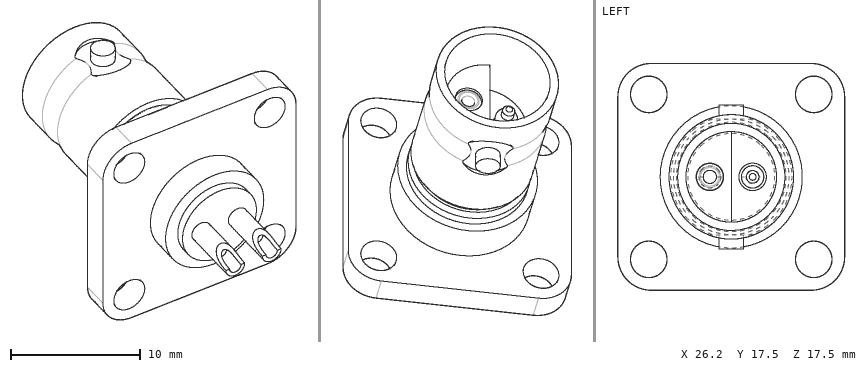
import cadquery as cq
import math


body_end = 10.75
neck_end = 11.62
shoulder_start = 12.7
flange_start = 15.95
flange_end = 18.23
collar_end = 20.45
plug_end = 21.16
total_length = 26.15

body_diameter = 9.6
neck_diameter = 8.45
ring_chamfer = 0.35
shoulder_diameter = 10.95
collar_diameter = 8.9
plug_diameter = 6.7
bore_diameter = 8.27
bore_depth = body_end

flange_side = 17.5
flange_corner_radius = 2.6
mount_hole_diameter = 2.8
mount_hole_spacing = 12.71

stud_x = 4.05
stud_diameter = 1.9
stud_span = 11.1
seat_diameter = 4.35
seat_height = 4.47
groove_width = 2.22
groove_depth = 0.13

insulator_diameter = 6.98
insulator_front = 3.2
insulator_step = 3.15

contact_offset = 1.65
cavity_diameter = 2.12
cavity_depth = 3.15
socket_diameter = 2.07
socket_bore_diameter = 1.02
socket_lip_radius = 0.2
socket_recess = 0.08
pin_diameter = 1.73
pin_tip_diameter = 0.97
pin_nose_diameter = 0.52
pin_start = 3.92
pin_tip_length = 0.78
pin_nose_length = 0.2

tail_diameter = 1.7
cup_diameter = 1.02
scoop_length = 2.12


def rod(start, end, diameter, y=0):
    """Cylinder parallel to X."""
    plane = cq.Workplane("YZ", origin=(start, y, 0))
    return plane.circle(diameter / 2).extrude(end - start)


def make_shell():
    shell = rod(0, body_end, body_diameter)
    shell = shell.union(rod(body_end, neck_end, neck_diameter))
    ring = rod(neck_end, shoulder_start, body_diameter).faces("<X").chamfer(ring_chamfer)
    shell = shell.union(ring)
    shell = shell.union(rod(shoulder_start, flange_start, shoulder_diameter))
    shell = shell.union(rod(flange_end, collar_end, collar_diameter))
    shell = shell.union(rod(collar_end, plug_end, plug_diameter))
    return shell.union(make_flange())


def make_flange():
    flange = (
        cq.Workplane("YZ", origin=(flange_start, 0, 0))
        .rect(flange_side, flange_side)
        .extrude(flange_end - flange_start)
        .edges("|X")
        .fillet(flange_corner_radius)
    )
    return (
        flange.faces("<X")
        .workplane(centerOption="CenterOfBoundBox")
        .rect(mount_hole_spacing, mount_hole_spacing, forConstruction=True)
        .vertices()
        .hole(mount_hole_diameter)
    )


def make_groove():
    """Ring with a shallow arc profile, removed from around the studs."""
    radius = body_diameter / 2
    return (
        cq.Workplane("XY")
        .moveTo(stud_x - groove_width / 2, radius)
        .threePointArc((stud_x, radius - groove_depth), (stud_x + groove_width / 2, radius))
        .close()
        .revolve(360, (0, 0, 0), (1, 0, 0))
    )


def make_seats():
    """Material cut away above and below to leave the flat stud seats."""
    column = cq.Workplane("XY", origin=(stud_x, 0, 0)).circle(seat_diameter / 2)
    top = column.extrude(stud_span / 2).translate((0, 0, seat_height))
    return top.union(top.mirror("XY"))


def make_studs():
    stud_height = stud_span / 2 - seat_height
    stud = (
        cq.Workplane("XY", origin=(stud_x, 0, seat_height))
        .circle(stud_diameter / 2)
        .extrude(stud_height)
    )
    return stud.union(stud.mirror("XY"))


def make_insulator():
    insulator = rod(insulator_front, bore_depth, insulator_diameter)
    half_cut = cq.Workplane("XY").box(
        insulator_step, insulator_diameter, insulator_diameter, centered=(False, False, True)
    )
    insulator = insulator.cut(half_cut.translate((insulator_front, -insulator_diameter, 0)))
    socket_cavity = rod(insulator_front, insulator_front + cavity_depth, cavity_diameter, contact_offset)
    step_face = insulator_front + insulator_step
    pin_cavity = rod(step_face, step_face + cavity_depth, cavity_diameter, -contact_offset)
    return insulator.cut(socket_cavity).cut(pin_cavity)


def make_socket():
    start = insulator_front + socket_recess
    end = insulator_front + cavity_depth
    socket = rod(start, end, socket_diameter, contact_offset)
    socket = socket.cut(rod(start, end, socket_bore_diameter, contact_offset))
    return socket.faces("<X").edges().fillet(socket_lip_radius)


def make_pin():
    """Round-shouldered pin with a slim tip and tapered nose."""
    pin_radius = pin_diameter / 2
    tip_radius = pin_tip_diameter / 2
    nose_end = pin_start + pin_nose_length
    tip_end = pin_start + pin_tip_length
    shoulder = pin_radius - tip_radius
    bend = shoulder * math.sqrt(0.5)
    pin_end = insulator_front + insulator_step + cavity_depth
    profile = (
        cq.Workplane("XY")
        .moveTo(pin_start, 0)
        .lineTo(pin_start, pin_nose_diameter / 2)
        .lineTo(nose_end, tip_radius)
        .lineTo(tip_end, tip_radius)
        .threePointArc(
            (tip_end + shoulder - bend, tip_radius + bend), (tip_end + shoulder, pin_radius)
        )
        .lineTo(pin_end, pin_radius)
        .lineTo(pin_end, 0)
        .close()
    )
    return profile.revolve(360, (0, 0, 0), (1, 0, 0)).translate((0, -contact_offset, 0))


def make_tail(y):
    """Solder tail whose upper half is scooped away to open the cup."""
    tail_radius = tail_diameter / 2
    cup_start = total_length - scoop_length
    scoop_radius = (scoop_length**2 + tail_radius**2) / (2 * tail_radius)
    scoop = (
        cq.Workplane("XZ", origin=(total_length, y, scoop_radius))
        .circle(scoop_radius)
        .extrude(tail_diameter, both=True)
    )
    tail = rod(plug_end, total_length, tail_diameter, y)
    return tail.cut(scoop).cut(rod(cup_start, total_length, cup_diameter, y))


result = make_shell().cut(rod(0, bore_depth, bore_diameter))
result = result.cut(make_groove()).cut(make_seats())
result = result.union(make_studs()).union(make_insulator())
result = result.union(make_socket()).union(make_pin())
for tail_y in (contact_offset, -contact_offset):
    result = result.union(make_tail(tail_y))